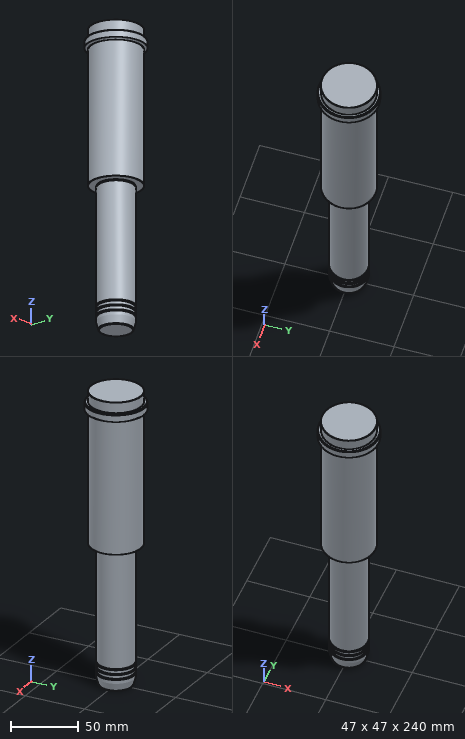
import cadquery as cq
import math

total_length = 240.0

sleeve_radius = 21.0
sleeve_bottom = 115.2
collar_radius = 23.5
collar_bottom = 225.0
collar_top = 231.0
collar_chamfer = 0.7
edge_break = 0.2

stem_radius = 15.0
neck_radius = 14.5
neck_bottom = 114.0
tip_height = 7.0
tip_chamfer = 0.7
tip_taper_angle = 15
tip_radius = stem_radius - (tip_height - tip_chamfer) * math.tan(math.radians(tip_taper_angle))

groove_radius = 0.6
oil_groove_count = 3
oil_groove_span = 8.0
oil_groove_pitch = oil_groove_span / (oil_groove_count - 1)
lowest_oil_groove = 10.5


def make_blank():
    """Pillar and bush turned in one piece from their half profile of (radius, height) points."""
    tip = [
        (0, 0),
        (tip_radius - tip_chamfer, 0),
        (tip_radius, tip_chamfer),
        (stem_radius, tip_height),
    ]
    neck = [
        (stem_radius, neck_bottom),
        (neck_radius, neck_bottom),
        (neck_radius, sleeve_bottom),
    ]
    sleeve = [
        (sleeve_radius - edge_break, sleeve_bottom),
        (sleeve_radius, sleeve_bottom + edge_break),
        (sleeve_radius, collar_bottom),
    ]
    collar = [
        (collar_radius, collar_bottom),
        (collar_radius, collar_top - collar_chamfer),
        (collar_radius - collar_chamfer, collar_top),
    ]
    head = [
        (sleeve_radius - edge_break, collar_top),
        (sleeve_radius, collar_top + edge_break),
        (sleeve_radius, total_length - edge_break),
        (sleeve_radius - edge_break, total_length),
        (0, total_length),
    ]
    outline = tip + neck + sleeve + collar + head
    return cq.Workplane("XZ").polyline(outline).close().revolve(360, (0, 0, 0), (0, 1, 0))


def make_groove(surface_radius, height):
    """Ring of circular section centred on the surface it cuts."""
    return (
        cq.Workplane("XZ")
        .center(surface_radius, height)
        .circle(groove_radius)
        .revolve(360, (-surface_radius, 0, 0), (-surface_radius, 1, 0))
    )


collar_groove = make_groove(sleeve_radius, collar_bottom - groove_radius)
result = make_blank().cut(collar_groove)

for index in range(oil_groove_count):
    oil_groove = make_groove(stem_radius, lowest_oil_groove + index * oil_groove_pitch)
    result = result.cut(oil_groove)